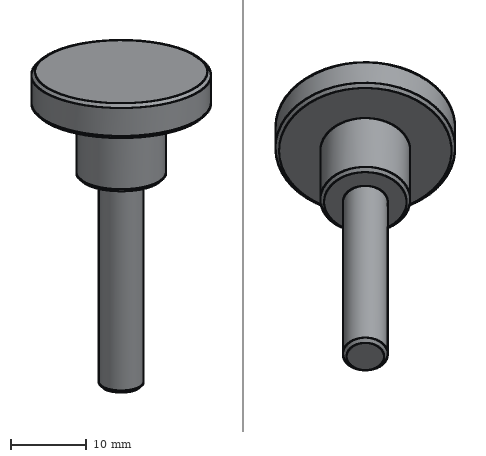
import cadquery as cq

total_length = 45.0
head_diameter = 24.0
head_height = 5.0
collar_diameter = head_diameter / 2
collar_height = 2 * head_height
shank_diameter = collar_diameter / 2
edge_chamfer = 0.5

head_bottom = total_length - head_height
collar_bottom = head_bottom - collar_height


def cylinder(diameter, bottom, top):
    """Solid cylinder on the Z axis between two levels."""
    return cq.Workplane("XY").workplane(offset=bottom).circle(diameter / 2).extrude(top - bottom)


head = cylinder(head_diameter, head_bottom, total_length).edges().chamfer(edge_chamfer)
collar = cylinder(collar_diameter, collar_bottom, head_bottom).faces("<Z").edges().chamfer(edge_chamfer)
shank = cylinder(shank_diameter, 0, collar_bottom).faces("<Z").edges().chamfer(edge_chamfer)

result = head.union(collar).union(shank)